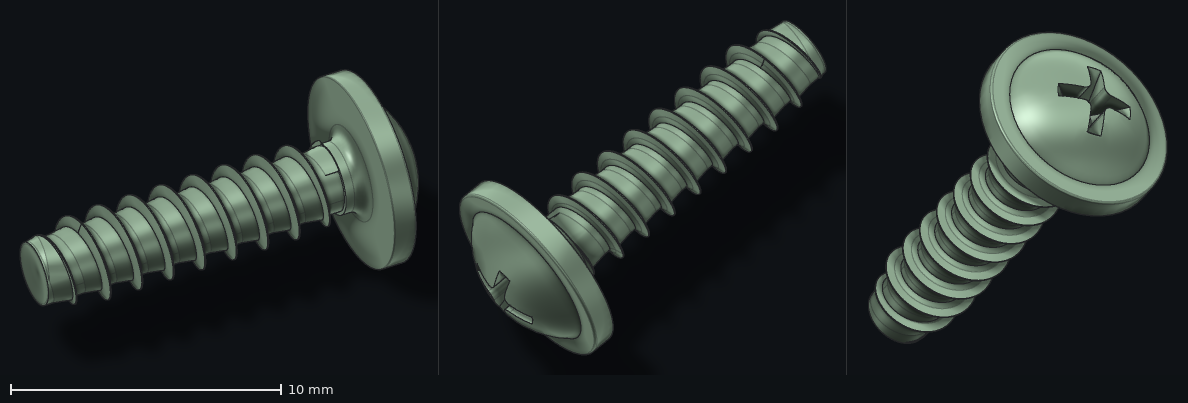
import cadquery as cq
import math


flange_radius = 3.748
flange_thickness = 0.92
flange_top_edge_radius = 0.08
flange_bottom_edge_radius = 0.03
dome_radius = 3.74
dome_base_radius = 2.96
dome_height = dome_radius - math.sqrt(dome_radius**2 - dome_base_radius**2)
head_height = flange_thickness + dome_height

recess_wing_width = 0.57
recess_corner_radius = 0.3
recess_mouth_radius = 1.53
recess_floor_radius = 0.54
recess_depth = 1.53
recess_rim_drop = dome_radius - math.sqrt(dome_radius**2 - recess_mouth_radius**2)

neck_radius = 1.38
neck_length = 0.86
neck_fillet = 0.5
core_radius = 1.234
shank_length = 13.0
tip_dimple_depth = 0.15
tip_dimple_radius = 1.17

pitch = 1.292
crest_radius = 1.75
crest_width = 0.05
root_radius = 1.326
flank_break_radius = 1.44
upper_flank_foot = 0.21
upper_flank_break = 0.1
lower_flank_foot = 0.17
relief_end = 0.81
relief_overrun = 0.15
buried_radius = 1.07
end_relief_taper = 0.61
relief_end_radius = 1.21

turn_zero_depth = 1.67
relief_top_turn = 0.85
lead_out_top_turn = -7.25
lead_out_turns = 1.5
lead_out_sink_per_turn = 0.35
lead_in_bottom_turn = -0.5
lead_in_turns = 1.5
lead_in_sink_per_turn = 0.2


def make_head():
    """Round flange with a spherical dome on top."""
    flange = cq.Workplane("XY").circle(flange_radius).extrude(flange_thickness)
    flange = flange.faces(">Z").edges().fillet(flange_top_edge_radius)
    flange = flange.faces("<Z").edges().fillet(flange_bottom_edge_radius)
    dome_mid_radius = dome_base_radius / 2
    dome_mid_height = head_height - dome_radius + math.sqrt(dome_radius**2 - dome_mid_radius**2)
    dome = (
        cq.Workplane("XZ")
        .moveTo(0, flange_thickness / 2)
        .lineTo(dome_base_radius, flange_thickness / 2)
        .lineTo(dome_base_radius, flange_thickness)
        .threePointArc((dome_mid_radius, dome_mid_height), (0, head_height))
        .close()
        .revolve(360, (0, 0), (0, 1))
    )
    return flange.union(dome)


def make_recess():
    """Cross recess: two crossed slots whose ends narrow to a small floor."""
    rim_height = head_height - recess_rim_drop
    floor_height = head_height - recess_depth
    envelope = (
        cq.Workplane("XZ")
        .moveTo(0, floor_height)
        .lineTo(recess_floor_radius, floor_height)
        .lineTo(recess_mouth_radius, rim_height)
        .lineTo(recess_mouth_radius, head_height)
        .lineTo(0, head_height)
        .close()
        .revolve(360, (0, 0), (0, 1))
    )
    slot_length = 2 * flange_radius
    floor = cq.Workplane("XY").workplane(offset=floor_height)
    slots = floor.rect(slot_length, recess_wing_width).extrude(recess_depth)
    slots = slots.union(floor.rect(recess_wing_width, slot_length).extrude(recess_depth))
    inner_corners = cq.selectors.BoxSelector(
        (-recess_wing_width, -recess_wing_width, floor_height),
        (recess_wing_width, recess_wing_width, head_height),
    )
    slots = slots.edges("|Z").edges(inner_corners).fillet(recess_corner_radius)
    return slots.intersect(envelope)


def make_shank():
    """Filleted neck and threaded core."""
    fillet_centre_radius = neck_radius + neck_fillet
    fillet_offset = neck_fillet * math.sqrt(0.5)
    return (
        cq.Workplane("XZ")
        .moveTo(0, flange_thickness / 2)
        .lineTo(fillet_centre_radius, flange_thickness / 2)
        .lineTo(fillet_centre_radius, 0)
        .threePointArc(
            (fillet_centre_radius - fillet_offset, fillet_offset - neck_fillet),
            (neck_radius, -neck_fillet),
        )
        .lineTo(neck_radius, -neck_length)
        .lineTo(core_radius, -neck_length)
        .lineTo(core_radius, -shank_length)
        .lineTo(0, -shank_length)
        .close()
        .revolve(360, (0, 0), (0, 1))
    )


def make_tip_dimple():
    """Shallow conical hollow in the end face."""
    return (
        cq.Workplane("XZ")
        .moveTo(0, -shank_length)
        .lineTo(tip_dimple_radius, -shank_length)
        .lineTo(0, -shank_length + tip_dimple_depth)
        .close()
        .revolve(360, (0, 0), (0, 1))
    )


def sweep_turns(section, start_turn, turns, start_sink=0.0, growth_per_turn=0.0):
    """Sweep a (radius, height) section up a right-hand helix that may widen or narrow."""
    cone_angle = math.atan(growth_per_turn / pitch)
    slant_pitch = pitch / math.cos(cone_angle)
    helix_angle = math.degrees(cone_angle) if growth_per_turn else 360
    helix = cq.Wire.makeHelix(
        slant_pitch,
        turns * slant_pitch,
        crest_radius - start_sink,
        angle=helix_angle,
    )
    ridge = (
        cq.Workplane("XZ")
        .polyline([(radius - start_sink, height) for radius, height in section])
        .close()
        .sweep(cq.Workplane(obj=helix), isFrenet=True)
    )
    start_height = start_turn * pitch - turn_zero_depth
    return ridge.rotate((0, 0, 0), (0, 0, 1), 360 * start_turn).translate((0, 0, start_height))


def make_ridge():
    """Sharp ridge that sinks into the core at both ends."""
    upper_slope = (upper_flank_foot - upper_flank_break) / (flank_break_radius - core_radius)
    lower_slope = (lower_flank_foot - crest_width / 2) / (crest_radius - root_radius)
    section = [
        (buried_radius, upper_flank_foot + upper_slope * (core_radius - buried_radius)),
        (flank_break_radius, upper_flank_break),
        (crest_radius, crest_width / 2),
        (crest_radius, -crest_width / 2),
        (buried_radius, -lower_flank_foot - lower_slope * (root_radius - buried_radius)),
    ]
    lead_out = sweep_turns(
        section,
        lead_out_top_turn - lead_out_turns,
        lead_out_turns,
        lead_out_turns * lead_out_sink_per_turn,
        lead_out_sink_per_turn,
    )
    full_turns = sweep_turns(section, lead_out_top_turn, lead_in_bottom_turn - lead_out_top_turn)
    lead_in = sweep_turns(section, lead_in_bottom_turn, lead_in_turns, 0.0, -lead_in_sink_per_turn)
    limits = cq.Workplane("XY").workplane(offset=-shank_length).circle(2 * crest_radius)
    return full_turns.union(lead_out).union(lead_in).intersect(limits.extrude(shank_length - neck_length))


def make_relief():
    """Tapered collar under the ridge, faded out at the tip."""
    taper = (root_radius - core_radius) / (relief_end - lower_flank_foot)
    section = [
        (buried_radius, 0),
        (root_radius + taper * lower_flank_foot, 0),
        (core_radius - taper * relief_overrun, -relief_end - relief_overrun),
        (buried_radius, -relief_end - relief_overrun),
    ]
    bottom_turn = lead_out_top_turn - lead_out_turns
    relief = sweep_turns(section, bottom_turn, relief_top_turn - bottom_turn)
    limits = (
        cq.Workplane("XZ")
        .moveTo(0, -neck_fillet)
        .lineTo(neck_radius, -neck_fillet)
        .lineTo(neck_radius, -shank_length + end_relief_taper)
        .lineTo(relief_end_radius, -shank_length)
        .lineTo(0, -shank_length)
        .close()
        .revolve(360, (0, 0), (0, 1))
    )
    return relief.intersect(limits)


shank = make_shank().union(make_relief()).union(make_ridge()).cut(make_tip_dimple())
screw = make_head().union(shank).cut(make_recess())
result = screw.rotate((0, 0, 0), (1, 0, 0), -90)